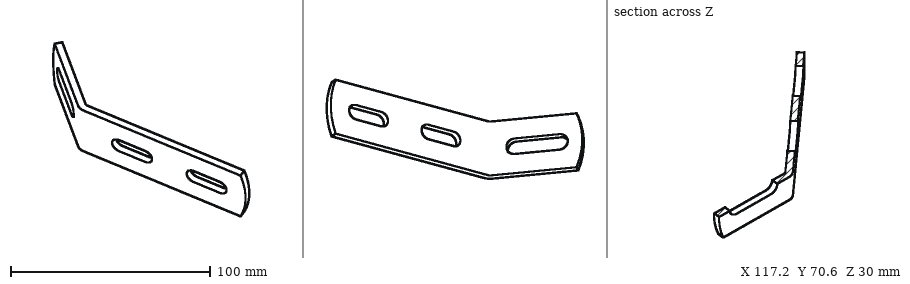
import cadquery as cq
import math

length_x = 117.2
height = 30.0
thickness = 4.0

bend_angle = 45.0
bend_inner_radius = 2.0
bend_outer_radius = bend_inner_radius + thickness
bend_start = 46.9

end_radius = 40.0

flat_slot_width = 8.5
leg_slot_width = 8.0
flat_slot_length = 31.5
flat_slot_margin = 7.5
leg_slot_length = 23.0
leg_slot_margin = 11.0
leg_slot_pitch = 43.0

bend_radians = math.radians(bend_angle)
leg_start_x = bend_start + bend_outer_radius * math.sin(bend_radians)
leg_start_y = bend_outer_radius * (1 - math.cos(bend_radians))
leg_length = (length_x - leg_start_x) / math.cos(bend_radians)
end_rise = end_radius - math.sqrt(end_radius**2 - (height / 2) ** 2)


def make_leg(span):
    """Plate on the XZ plane from x = 0 to the crown of its rounded end at x = span."""
    shoulder = span - end_rise
    return (
        cq.Workplane("XZ")
        .moveTo(0, -height / 2)
        .lineTo(shoulder, -height / 2)
        .threePointArc((span, 0), (shoulder, height / 2))
        .lineTo(0, height / 2)
        .close()
        .extrude(-thickness)
    )


def cut_slot(leg, center, slot_length, slot_width):
    """Cut a lengthwise round-ended slot through a leg."""
    slot = cq.Workplane("XZ").center(center, 0).slot2D(slot_length, slot_width).extrude(-thickness)
    return leg.cut(slot)


def make_bend():
    """Rounded sector that joins the two legs."""
    def arc_point(radius, angle):
        return (bend_start + radius * math.sin(angle), bend_outer_radius - radius * math.cos(angle))

    return (
        cq.Workplane("XY")
        .workplane(offset=-height / 2)
        .moveTo(*arc_point(bend_outer_radius, 0))
        .threePointArc(
            arc_point(bend_outer_radius, bend_radians / 2),
            arc_point(bend_outer_radius, bend_radians),
        )
        .lineTo(*arc_point(bend_inner_radius, bend_radians))
        .threePointArc(
            arc_point(bend_inner_radius, bend_radians / 2),
            arc_point(bend_inner_radius, 0),
        )
        .close()
        .extrude(height)
    )


flat_leg = make_leg(bend_start)
flat_slot_center = bend_start - flat_slot_margin - flat_slot_length / 2
flat_leg = cut_slot(flat_leg, flat_slot_center, flat_slot_length, flat_slot_width)
flat_leg = flat_leg.mirror("YZ").translate((bend_start, 0, 0))

inclined_leg = make_leg(leg_length)
outer_slot_center = leg_length - leg_slot_margin - leg_slot_length / 2
for slot_center in (outer_slot_center, outer_slot_center - leg_slot_pitch):
    inclined_leg = cut_slot(inclined_leg, slot_center, leg_slot_length, leg_slot_width)
inclined_leg = inclined_leg.rotate((0, 0, 0), (0, 0, 1), bend_angle).translate((leg_start_x, leg_start_y, 0))

result = flat_leg.union(make_bend()).union(inclined_leg)